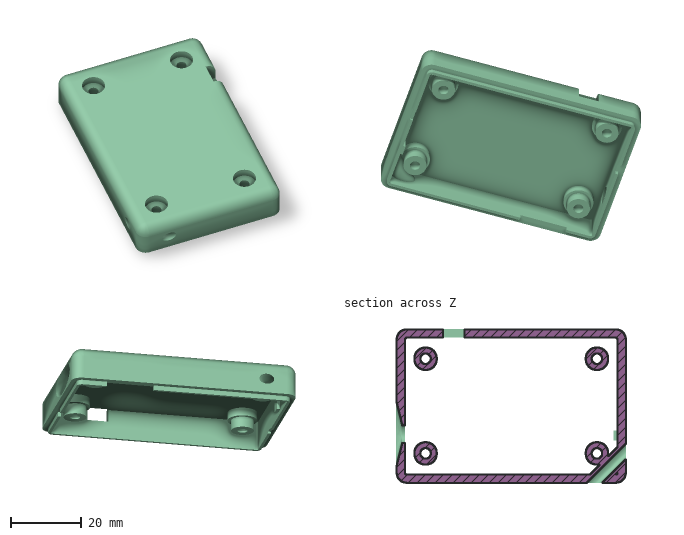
import cadquery as cq
import math

length = 65.25
width = 43.7
height = 11.0
edge_radius = 3.0
top_radius = edge_radius - 0.005
wall = 2.5
roof = 2.5

lip_height = 1.4
lip_inset = 1.6
lip_corner_radius = 1.55
front_gap_start = -22.6
front_gap_end = -8.9
side_gap_start = 3.0
side_gap_end = 5.95
far_notch_height = 0.5

screw_x = 24.35
screw_y = 13.45
collar_diameter = 8.5
collar_bottom = 6.2
post_diameter = 6.5
post_bottom = 3.1
counterbore_diameter = 6.5
counterbore_depth = 2.5
screw_hole_diameter = 2.9

notch_start = -19.4
notch_end = -13.3
notch_floor = 5.0

cable_y = -7.95
funnel_width = 18.15
funnel_height = 7.7
funnel_z = 5.7
funnel_depth = 1.6
cable_hole_diameter = 5.0
cable_hole_z = 4.75

cord_x = 23.6
cord_z = 5.55
cord_hole_diameter = 3.0
cord_tube_diameter = 5.2

rib_start = -9.85
rib_end = -7.05
rib_top = 5.0
rib_depth = 1.0

inner_length = length - 2 * wall
inner_width = width - 2 * wall
ceiling = height - roof
screw_points = [(x, y) for x in (-screw_x, screw_x) for y in (-screw_y, screw_y)]


def box(x_range, y_range, z_range):
    """Axis-aligned box between the given limits."""
    sizes = [high - low for low, high in (x_range, y_range, z_range)]
    corner = (x_range[0], y_range[0], z_range[0])
    return cq.Workplane("XY").box(*sizes, centered=False).translate(corner)


def rounded_block(inset, corner_radius, bottom, top):
    """Upright block with rounded corners, set in evenly from the case outline."""
    return (
        cq.Workplane("XY")
        .workplane(offset=bottom)
        .rect(length - 2 * inset, width - 2 * inset)
        .extrude(top - bottom)
        .edges("|Z")
        .fillet(corner_radius)
    )


def screw_cylinders(diameter, bottom, top):
    """Upright cylinders on all four screw axes."""
    return (
        cq.Workplane("XY")
        .workplane(offset=bottom)
        .pushPoints(screw_points)
        .circle(diameter / 2)
        .extrude(top - bottom)
    )


def cord_cylinder(diameter):
    """Level cylinder at 45 degrees, passing through the front and right faces."""
    overrun = diameter
    run = (length / 2 - cord_x) * math.sqrt(2)
    direction = cq.Vector(1, 1, 0).normalized()
    start = cq.Vector(cord_x, -width / 2, cord_z) - direction * overrun
    return cq.Workplane(cq.Solid.makeCylinder(diameter / 2, run + 2 * overrun, start, direction))


def cable_opening():
    """Funnel and through hole cut from the left face."""
    plane = cq.Plane(origin=(-length / 2, cable_y, 0), xDir=(0, 1, 0), normal=(1, 0, 0))
    funnel = (
        cq.Workplane(plane)
        .center(0, funnel_z)
        .ellipse(funnel_width / 2, funnel_height / 2)
        .workplane(offset=funnel_depth)
        .center(0, cable_hole_z - funnel_z)
        .circle(cable_hole_diameter / 2)
        .loft(ruled=True)
    )
    hole = cq.Workplane(plane).center(0, cable_hole_z).circle(cable_hole_diameter / 2).extrude(wall)
    return funnel.union(hole)


body = rounded_block(0, edge_radius, lip_height, height).faces(">Z").edges().fillet(top_radius)
outer_shape = body.union(rounded_block(lip_inset, lip_corner_radius, 0, lip_height))
case = outer_shape.cut(rounded_block(wall, edge_radius - wall, 0, ceiling))

case = case.union(screw_cylinders(collar_diameter, collar_bottom, ceiling))
case = case.union(screw_cylinders(post_diameter, post_bottom, ceiling))
case = case.union(cord_cylinder(cord_tube_diameter).intersect(outer_shape))
rib_x_range = (inner_length / 2 - rib_depth, inner_length / 2)
case = case.union(box(rib_x_range, (rib_start, rib_end), (lip_height, rib_top)))

case = case.cut(screw_cylinders(screw_hole_diameter, 0, height))
case = case.cut(screw_cylinders(counterbore_diameter, height - counterbore_depth, height))

case = case.cut(cord_cylinder(cord_hole_diameter)).cut(cable_opening())
back_notch = box((notch_start, notch_end), (width / 2 - edge_radius, width / 2), (notch_floor, height))
case = case.cut(back_notch)

front_gap = box((front_gap_start, front_gap_end), (-width / 2, -inner_width / 2), (0, lip_height))
side_gap = box((-length / 2, -inner_length / 2), (side_gap_start, side_gap_end), (0, lip_height))
far_notch = box((inner_length / 2, length / 2), (side_gap_start, side_gap_end), (0, far_notch_height))
result = case.cut(front_gap).cut(side_gap).cut(far_notch)